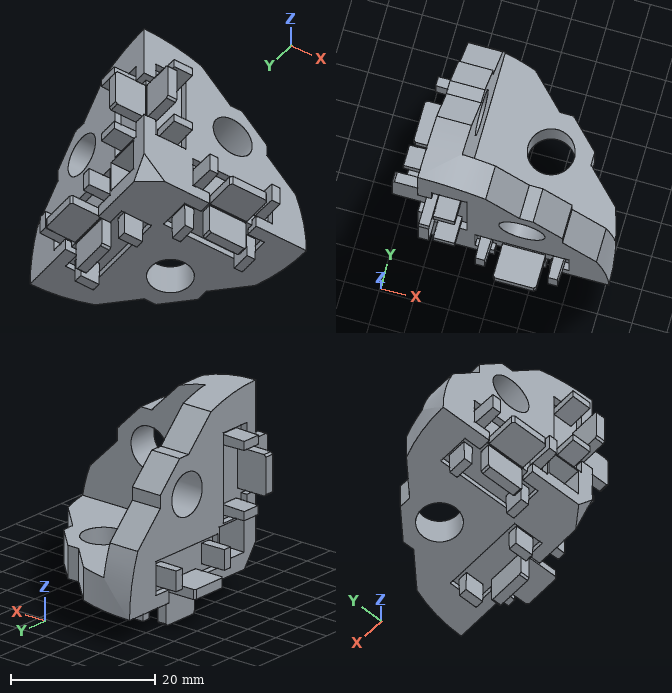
import cadquery as cq


overall_size = 31.5
tab_reach = 4.0
plate_radius = overall_size - tab_reach
plate_thickness = 5.0

arc_end = 9.75
arc_end_far = (plate_radius**2 - arc_end**2) ** 0.5
step_far = 20.82
step_outer = 16.6
step_inner = arc_end + arc_end_far - step_far

hole_diameter = 6.6
center_line = 15.0

recess_depth = 1.05
recess_length = 13.48
recess_near = 2.0
recess_far = 7.05
neck_length = 7.95

tab_width = 6.2
tab_thickness = 1.5
tab_near = 1.2
tab_chamfer = 0.3
pin_reach = 2.93
pin_spacing = 10.45
pin_near = 3.02
pin_depth = 3.1
pin_base_width = 1.58
pin_tip_width = 1.35
root = 0.3

window_near = 2.58
window_size = 5.4
window_depth = 7.72
window_inset = 0.15

bevel_x = 3.5
bevel_y = 2.5
bevel_z = 3.5


def turned_to_plates(shape):
    """The Z = 0 plate feature as placed on each of the three plates."""
    placements = [cq.Location(cq.Plane.named(name)) for name in ("XY", "YZ", "ZX")]
    return [cq.Workplane(shape.val().moved(placement)) for placement in placements]


def on_all_plates(shape):
    """The three placements joined into one shape."""
    on_z, on_x, on_y = turned_to_plates(shape)
    return on_z.union(on_x).union(on_y)


def on_both_edges(shape):
    """The feature along the X edge together with its mirror image along the Y edge."""
    swapped = shape.rotate((0, 0, 0), (1, 1, 0), 180).mirror("XY")
    return shape.union(swapped)


def block(x_range, y_range, z_range):
    """Box spanning the given (low, high) range on each axis."""
    (x0, x1), (y0, y1), (z0, z1) = x_range, y_range, z_range
    box = cq.Workplane("XY").box(x1 - x0, y1 - y0, z1 - z0, centered=False)
    return box.translate((x0, y0, z0))


def centered_span(length):
    return (center_line - length / 2, center_line + length / 2)


def outline_prism():
    arc_mid = (plate_radius + arc_end_far) / 2
    mid_small = (plate_radius**2 - arc_mid**2) ** 0.5
    return (
        cq.Workplane("XY")
        .lineTo(plate_radius, 0)
        .threePointArc((arc_mid, mid_small), (arc_end_far, arc_end))
        .lineTo(step_far, step_inner)
        .lineTo(step_far, step_outer)
        .lineTo(step_outer, step_far)
        .lineTo(step_inner, step_far)
        .lineTo(arc_end, arc_end_far)
        .threePointArc((mid_small, arc_mid), (0, plate_radius))
        .close()
        .extrude(overall_size)
    )


def plates():
    """Space common to the three outline prisms, hollowed out to leave the plates."""
    prism_z, prism_x, prism_y = turned_to_plates(outline_prism())
    envelope = prism_x.intersect(prism_y).intersect(prism_z)
    inside = (plate_thickness, overall_size)
    return envelope.cut(block(inside, inside, inside))


def plate_hole():
    return (
        cq.Workplane("XY")
        .center(center_line, center_line)
        .circle(hole_diameter / 2)
        .extrude(plate_thickness)
    )


def connector_recess():
    depth = (0, recess_depth)
    body = block(centered_span(recess_length), (recess_near, recess_far), depth)
    neck = block(centered_span(neck_length), (0, recess_near), depth)
    return body.union(neck)


def connector_tab():
    thickness = (tab_near, tab_near + tab_thickness)
    tab = block(centered_span(tab_width), thickness, (-tab_reach, recess_depth + root))
    return tab.faces("<Z").edges("|Y").chamfer(tab_chamfer)


def connector_pin(x):
    return (
        cq.Workplane("XZ", origin=(x, pin_near + pin_depth, 0))
        .moveTo(-pin_tip_width / 2, -pin_reach)
        .lineTo(pin_tip_width / 2, -pin_reach)
        .lineTo(pin_base_width / 2, recess_depth)
        .lineTo(pin_base_width / 2, recess_depth + root)
        .lineTo(-pin_base_width / 2, recess_depth + root)
        .lineTo(-pin_base_width / 2, recess_depth)
        .close()
        .extrude(pin_depth)
    )


def connector():
    parts = connector_tab()
    for x in centered_span(pin_spacing):
        parts = parts.union(connector_pin(x))
    return parts


def window():
    center = window_near + window_size / 2
    inner_size = window_size - 2 * window_inset
    return (
        cq.Workplane("YZ")
        .center(center, center)
        .rect(window_size, window_size)
        .workplane(offset=window_depth)
        .rect(inner_size, inner_size)
        .loft()
    )


def corner_bevel():
    """Tetrahedron between the origin and the bevel plane."""
    corner = cq.Vector(0, 0, 0)
    on_x = cq.Vector(bevel_x, 0, 0)
    on_y = cq.Vector(0, bevel_y, 0)
    on_z = cq.Vector(0, 0, bevel_z)
    triangles = [(corner, on_x, on_y), (corner, on_y, on_z), (corner, on_z, on_x), (on_x, on_y, on_z)]
    faces = [cq.Face.makeFromWires(cq.Wire.makePolygon(points, close=True)) for points in triangles]
    return cq.Workplane(cq.Solid.makeSolid(cq.Shell.makeShell(faces)))


result = (
    plates()
    .cut(on_all_plates(plate_hole()))
    .cut(on_all_plates(on_both_edges(connector_recess())))
    .union(on_all_plates(on_both_edges(connector())))
    .cut(window())
    .cut(corner_bevel())
)